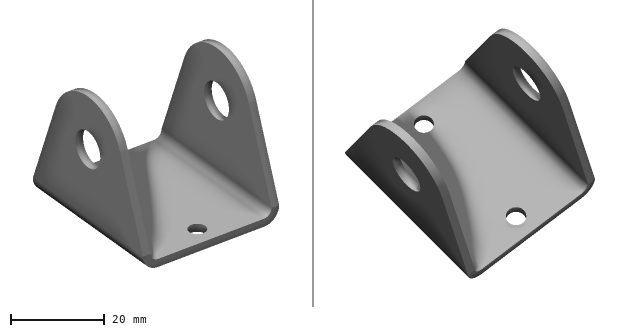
import cadquery as cq
import math

length = 40.0
width = 36.0
height = 34.25
thickness = 2.0
outer_bend_radius = 4.0
inner_bend_radius = outer_bend_radius - thickness

ear_radius = 12.5
ear_center_z = height - ear_radius
pivot_hole_diameter = 9.0
pivot_hole_z = 21.0

mount_hole_offset = 15.0
left_hole_diameter = 4.4
right_hole_diameter = 4.3


def make_channel():
    """U-shaped channel along X with rounded bends, its underside at Z = 0."""
    outer = (
        cq.Workplane("XY")
        .box(length, width, height, centered=(True, True, False))
        .edges("|X and <Z")
        .fillet(outer_bend_radius)
    )
    inner = (
        cq.Workplane("XY")
        .workplane(offset=thickness)
        .box(length, width - 2 * thickness, height, centered=(True, True, False))
        .edges("|X and <Z")
        .fillet(inner_bend_radius)
    )
    return outer.cut(inner)


def make_ear_envelope():
    """Ear outline in XZ, spanning the full width, down to the underside."""
    half_length = length / 2
    rise = ear_center_z - outer_bend_radius
    corner_distance = math.hypot(half_length, rise)
    tangent_angle = math.acos(ear_radius / corner_distance) - math.atan2(rise, half_length)
    tangent_x = ear_radius * math.cos(tangent_angle)
    tangent_z = ear_center_z + ear_radius * math.sin(tangent_angle)
    return (
        cq.Workplane("XZ")
        .moveTo(-half_length, 0)
        .lineTo(half_length, 0)
        .lineTo(half_length, outer_bend_radius)
        .lineTo(tangent_x, tangent_z)
        .threePointArc((0, height), (-tangent_x, tangent_z))
        .lineTo(-half_length, outer_bend_radius)
        .close()
        .extrude(width / 2, both=True)
    )


def make_pivot_hole():
    """Cylinder that passes through both ears."""
    return (
        cq.Workplane("XZ")
        .center(0, pivot_hole_z)
        .circle(pivot_hole_diameter / 2)
        .extrude(width / 2, both=True)
    )


def make_mount_hole(x, diameter):
    """Cylinder that passes through the base."""
    return cq.Workplane("XY").center(x, 0).circle(diameter / 2).extrude(thickness)


result = make_channel().intersect(make_ear_envelope()).cut(make_pivot_hole())
for hole_x, hole_diameter in (
    (-mount_hole_offset, left_hole_diameter),
    (mount_hole_offset, right_hole_diameter),
):
    result = result.cut(make_mount_hole(hole_x, hole_diameter))